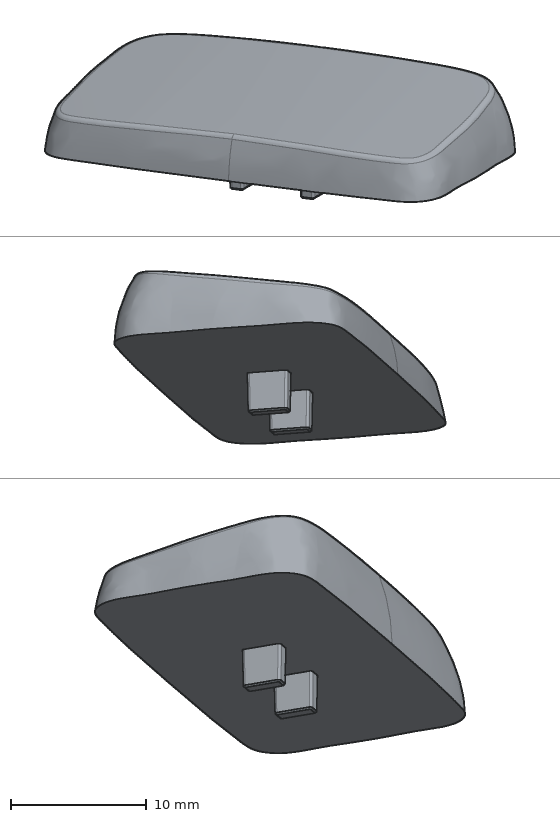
import cadquery as cq
import math

body_height = 4.7
top_tilt = 9.4
top_slope = math.tan(math.radians(top_tilt))
crown_length = 32.25
crown_radius = 258.0
rim_fillet = 0.48

base_half_width = 16.12
base_half_depth = 9.0
base_quarter = [
    (0, base_half_depth), (8.4, 8.93), (12.58, 8.77), (14.8, 8.3), (15.75, 7.15), (16.0, 3.87),
]
base_outline = (
    base_quarter
    + [(base_half_width, 0)]
    + [(x, -y) for x, y in reversed(base_quarter)]
)
rim_outline = [
    (0, 7.8), (8.05, 7.7), (11.4, 7.45), (13.32, 6.7), (14.35, 5.55), (15.05, 3.15), (15.32, 0),
    (15.25, -2.9), (15.0, -5.75), (14.6, -6.87), (13.7, -7.68), (11.45, -8.15), (0, -8.3),
]

wall_levels = (0.0, 0.55, 1.12)
lean_exponent = 1.9

peg_width = 1.2
peg_depth = 3.1
peg_height = 2.97
peg_center_x = 2.87
peg_draft = 1.0
peg_edge_fillet = 0.2
peg_tip_chamfer = 0.13


def wall_section(level):
    """Closed outline in a plane that tilts progressively from the base to the top face."""
    inset = level ** lean_exponent
    right = []
    for (base_x, base_y), (rim_x, rim_y) in zip(base_outline, rim_outline):
        x = base_x + (rim_x - base_x) * inset
        y = base_y + (rim_y - base_y) * inset
        right.append(cq.Vector(x, y, level * (body_height + top_slope * y)))
    left = [cq.Vector(-p.x, p.y, p.z) for p in reversed(right)]
    to_right = cq.Vector(1, 0, 0)
    to_left = cq.Vector(-1, 0, 0)
    return cq.Wire.assembleEdges([
        cq.Edge.makeSpline(right, tangents=[to_right, to_left]),
        cq.Edge.makeSpline(left, tangents=[to_left, to_right]),
    ])


def make_body():
    walls = cq.Workplane(cq.Solid.makeLoft([wall_section(level) for level in wall_levels]))
    top_plane = cq.Plane(
        origin=(0, 0, body_height), xDir=(1, 0, 0), normal=(0, -1, -top_slope)
    )
    crown = (
        cq.Workplane(top_plane)
        .center(0, -crown_radius)
        .circle(crown_radius)
        .extrude(crown_length / 2, both=True)
    )
    return walls.intersect(crown).faces(">Z").edges().fillet(rim_fillet)


def make_peg(center_x):
    return (
        cq.Workplane("XY")
        .center(center_x, 0)
        .rect(peg_width, peg_depth)
        .extrude(-peg_height, taper=peg_draft)
        .edges("not(#Z)")
        .fillet(peg_edge_fillet)
        .faces("<Z")
        .edges()
        .chamfer(peg_tip_chamfer)
    )


result = make_body()
for side in (-1, 1):
    result = result.union(make_peg(side * peg_center_x))